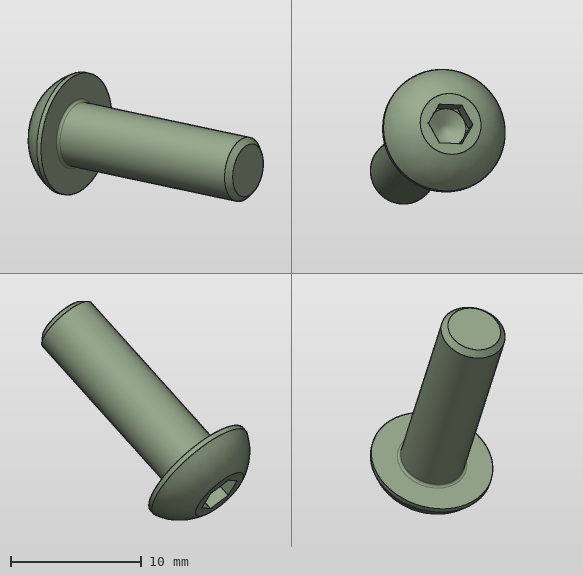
import cadquery as cq
import math

total_length = 18.75
head_height = 2.75
head_diameter = 9.5
head_flat_diameter = head_diameter / 2
rim_thickness = 0.4
dome_bulge = 0.32
shank_diameter = 5.0
neck_fillet = 0.2
tip_chamfer_length = 0.45
tip_chamfer_depth = 0.45
socket_width = 3.02
socket_depth = 1.55
socket_cone_angle = 120.0

head_radius = head_diameter / 2
flat_radius = head_flat_diameter / 2
shank_radius = shank_diameter / 2
dome_height = head_height - rim_thickness


def make_body():
    """Revolve the domed head, neck fillet and chamfered shank about X."""
    radial_rise = head_radius - flat_radius
    chord = math.hypot(dome_height, radial_rise)
    dome_middle = (
        dome_height / 2 - dome_bulge * radial_rise / chord,
        (flat_radius + head_radius) / 2 + dome_bulge * dome_height / chord,
    )
    fillet_offset = neck_fillet * (1 - math.sqrt(0.5))
    neck_middle = (head_height + fillet_offset, shank_radius + fillet_offset)
    return (
        cq.Workplane("XY")
        .lineTo(0, flat_radius)
        .threePointArc(dome_middle, (dome_height, head_radius))
        .lineTo(head_height, head_radius)
        .lineTo(head_height, shank_radius + neck_fillet)
        .threePointArc(neck_middle, (head_height + neck_fillet, shank_radius))
        .lineTo(total_length - tip_chamfer_length, shank_radius)
        .lineTo(total_length, shank_radius - tip_chamfer_depth)
        .lineTo(total_length, 0)
        .close()
        .revolve(360, (0, 0, 0), (1, 0, 0))
    )


def make_socket():
    """Hexagonal socket with corners on Y, ending in a drilled cone."""
    corner_diameter = socket_width / math.cos(math.pi / 6)
    hexagon = cq.Workplane("YZ").polygon(6, corner_diameter).extrude(socket_depth)
    cone_radius = socket_width / 2
    cone_depth = cone_radius / math.tan(math.radians(socket_cone_angle / 2))
    cone = cq.Workplane(
        cq.Solid.makeCone(
            cone_radius, 0, cone_depth, cq.Vector(socket_depth, 0, 0), cq.Vector(1, 0, 0)
        )
    )
    return hexagon.union(cone)


result = make_body().cut(make_socket())